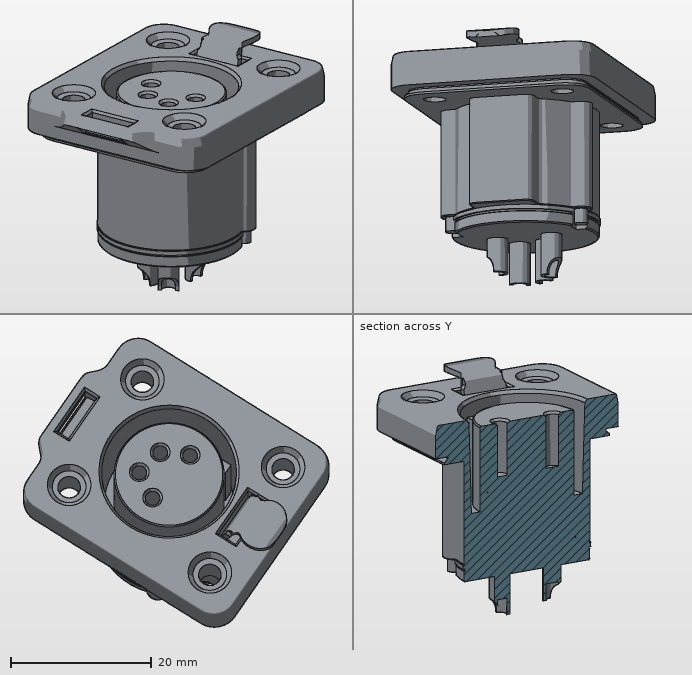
import cadquery as cq
import math


plate_width = 30.4
plate_back = 18.9
plate_front = -16.46
plate_height = 5.0
plate_corner = 3.5
draft_height = 1.45
draft_inset = 0.3
rim_fillet = 0.3

tongue_tip = -18.5
tongue_half_width = 5.1
bend_inner_radius = 2.26
bend_outer_radius = 2.0
tongue_root_depth = 3.1
notch_depth = 2.9

slot_width = 8.0
slot_front = -17.05
slot_back = -14.4
slot_bevel = 0.35
slot_back_depth = 2.0
slot_front_depth = 2.8

screw_pitch_x = 19.0
screw_pitch_y = 24.0
screw_centre_y = 1.2
screw_radius = 1.6
screw_seat_radius = 2.4
screw_mouth_radius = 3.1
screw_mouth_depth = 0.8
screw_seat_depth = 0.2

gasket_width = 27.5
gasket_length = 32.4
gasket_centre_y = 1.1
gasket_corner = 3.6
gasket_height = 1.1
gasket_neck_inset = 0.6
gasket_neck_height = 0.2
gasket_slope_height = 0.6

housing_radius = 10.55
housing_bottom = -16.55
housing_chamfer = 0.15
lug_blend = 0.6
latch_blend = 1.0
lug_x = 9.6
lug_y = 4.4
lug_radius = 1.65
latch_half_width = 4.8
latch_back = 12.8
latch_round = 1.3
nub_radius = 0.95
nub_bottom = -18.6

ring_radius = 10.65
ring_height = 0.6
groove_radius = 10.35
groove_height = 0.3
base_radius = 10.5
base_bottom = -19.1
base_chamfer = 0.2
base_slot_width = 2.65
base_slot_depth = 2.2
face_radius = 7.85
face_depth = 1.25
face_chamfer = 0.2
mouth_radius = 10.0
mouth_cone_depth = 0.5
cavity_radius = 9.6
cavity_floor_radius = 9.2
cavity_depth = 14.0
key_corner_x = -6.2
key_corner_y = 6.5
key_width = 1.5
key_drop = 0.6

contact_hole_radius = 1.05
contact_hole_depth = 8.0
contact_mouth_chamfer = 0.35
tail_radius = 1.5
tail_length = 6.0
short_tail_length = 4.94
cup_bore_radius = 1.0
cup_depth = 2.45
cup_opening = 1.35
cup_curve_x = 0.7
cup_curve_z = 0.35
contacts = [
    (4.2, -0.05, short_tail_length),
    (2.03, -3.74, tail_length),
    (-2.1, -2.9, tail_length),
    (-4.1, 0.9, tail_length),
]

clip_tip_top = 2.2
clip_peak_y = 16.2
clip_peak = 2.76
clip_thickness = 0.85
clip_stem_y = 11.85
clip_knee = 1.1
clip_lean = 0.2
clip_bend_y = 12.8
clip_bend_top = 1.85
clip_inner_bend = 1.2
clip_inner_bend_y = 13.6
clip_inner_bend_top = 1.45
clip_taper_start = 0.35
clip_taper_top = 0.9
clip_shoulder_half_width = 3.12
clip_head_half_width = 3.78
clip_head_y = 16.3
clip_tip_half_width = 2.2
clip_tip_y = 18.6
clip_shoulder_y = 14.2
clip_neck_half_width = 2.9
clip_neck_y = 13.7
clip_stem_half_width = 3.5

window_half_width = 4.18
window_front = 10.65
window_back = 14.2
window_bevel = 0.3
window_depth = 3.0

clip_root_y = window_front + window_bevel


def box(x0, x1, y0, y1, z0, z1):
    return cq.Workplane("XY").box(x1 - x0, y1 - y0, z1 - z0, centered=False).translate((x0, y0, z0))


def cylinder(radius, z0, z1, x=0.0, y=0.0):
    return cq.Workplane("XY", origin=(x, y, z0)).circle(radius).extrude(z1 - z0)


def cone(z0, radius0, z1, radius1, x=0.0, y=0.0):
    profile = [(0, z0), (radius0, z0), (radius1, z1), (0, z1)]
    return cq.Workplane("XZ").polyline(profile).close().revolve(360, (0, 0), (0, 1)).translate((x, y, 0))


def yz_prism(points, half_width):
    return cq.Workplane("YZ").polyline(points).close().extrude(half_width, both=True)


def bevelled_mouth(width, length, bevel, x, y):
    """Rectangular frustum that opens out to full size at the plate's top face."""
    return (
        cq.Workplane("XY", origin=(x, y, plate_height))
        .rect(width, length)
        .workplane(offset=-bevel)
        .rect(width - 2 * bevel, length - 2 * bevel)
        .loft(ruled=True)
    )


def make_plate():
    half = plate_width / 2
    diagonal = math.sqrt(0.5)
    outer_x = tongue_half_width + bend_outer_radius * diagonal
    outer_y = tongue_tip + bend_outer_radius * (1 - diagonal)
    inner_y = plate_front - bend_inner_radius * (1 - diagonal)
    inner_x = outer_x + inner_y - outer_y
    root_x = inner_x + bend_inner_radius * diagonal
    step = plate_corner * (1 - diagonal)
    outline = (
        cq.Workplane("XY")
        .moveTo(0, plate_back)
        .lineTo(half - plate_corner, plate_back)
        .threePointArc((half - step, plate_back - step), (half, plate_back - plate_corner))
        .lineTo(half, plate_front + plate_corner)
        .threePointArc((half - step, plate_front + step), (half - plate_corner, plate_front))
        .lineTo(root_x, plate_front)
        .tangentArcPoint((inner_x, inner_y), relative=False)
        .lineTo(outer_x, outer_y)
        .tangentArcPoint((tongue_half_width, tongue_tip), relative=False)
        .lineTo(0, tongue_tip)
        .mirrorY()
    )
    plate = outline.extrude(plate_height)
    plate = plate.faces(">Z").chamfer(draft_height, draft_inset)
    plate = plate.faces(">Z").edges().fillet(rim_fillet)

    tip_z = plate_height - draft_height
    root_z = plate_height - tongue_root_depth
    under_tongue = yz_prism(
        [(tongue_tip, tip_z), (plate_front, root_z), (plate_front, 0), (tongue_tip, 0)], half - plate_corner
    )
    notch_half = slot_width / 2 - slot_bevel
    notch = box(-notch_half, notch_half, tongue_tip, plate_front, plate_height - notch_depth, tip_z)
    return plate.cut(under_tongue).cut(notch)


def cut_label_slot(body):
    centre_y = (slot_front + slot_back) / 2
    mouth = bevelled_mouth(slot_width, slot_back - slot_front, slot_bevel, 0, centre_y)
    front = slot_front + slot_bevel
    back = slot_back - slot_bevel
    well = yz_prism(
        [
            (front, plate_height),
            (back, plate_height),
            (back, plate_height - slot_back_depth),
            (front, plate_height - slot_front_depth),
        ],
        slot_width / 2 - slot_bevel,
    )
    return body.cut(mouth).cut(well)


def cut_screw_holes(body):
    seat_z = plate_height - screw_mouth_depth
    for side in (-1, 1):
        for end in (-1, 1):
            x = side * screw_pitch_x / 2
            y = screw_centre_y + end * screw_pitch_y / 2
            body = body.cut(cone(plate_height, screw_mouth_radius, seat_z, screw_seat_radius, x, y))
            body = body.cut(cone(seat_z, screw_seat_radius, seat_z - screw_seat_depth, screw_radius, x, y))
            body = body.cut(cylinder(screw_radius, -gasket_height, plate_height, x, y))
    return body


def gasket_layer(z0, z1, inset):
    return (
        cq.Workplane("XY", origin=(0, gasket_centre_y, z0))
        .rect(gasket_width - 2 * inset, gasket_length - 2 * inset)
        .extrude(z1 - z0)
        .edges("|Z")
        .fillet(gasket_corner - inset)
    )


def make_gasket():
    lip = gasket_layer(-gasket_height, -gasket_neck_height, 0)
    lip = lip.faces(">Z").chamfer(gasket_slope_height, gasket_neck_inset)
    return lip.union(gasket_layer(-gasket_neck_height, 0, gasket_neck_inset))


def make_housing():
    housing = cylinder(housing_radius, housing_bottom, 0)
    latch = box(-latch_half_width, latch_half_width, 0, latch_back, housing_bottom, 0)
    housing = housing.union(latch.edges("|Z and >Y").fillet(latch_round))
    for side in (-1, 1):
        housing = housing.union(cylinder(lug_radius, housing_bottom, 0, side * lug_x, lug_y))
    for side in (-1, 1):
        latch_root_y = math.sqrt(housing_radius**2 - latch_half_width**2)
        housing = blend_corner(housing, side * latch_half_width, latch_root_y, latch_blend)
        for angle in lug_root_angles():
            root_x = side * housing_radius * math.cos(angle)
            housing = blend_corner(housing, root_x, housing_radius * math.sin(angle), lug_blend)
    return housing.faces("<Z").chamfer(housing_chamfer)


def lug_root_angles():
    """Polar angles at which the lug circle crosses the housing circle."""
    distance = math.hypot(lug_x, lug_y)
    cosine = (housing_radius**2 + distance**2 - lug_radius**2) / (2 * housing_radius * distance)
    middle = math.atan2(lug_y, lug_x)
    return (middle - math.acos(cosine), middle + math.acos(cosine))


def blend_corner(housing, x, y, radius):
    """Fillet the upright edge that stands at (x, y)."""
    reach = 0.05
    around = cq.selectors.BoxSelector((x - reach, y - reach, housing_bottom), (x + reach, y + reach, 0))
    return housing.edges("|Z").edges(around).fillet(radius)


def make_insert_base():
    ring_bottom = housing_bottom - ring_height
    groove_bottom = ring_bottom - groove_height
    base = cylinder(base_radius, base_bottom, groove_bottom).faces("<Z").chamfer(base_chamfer)
    base = base.union(cylinder(groove_radius, groove_bottom, ring_bottom))
    base = base.union(cylinder(ring_radius, ring_bottom, housing_bottom))
    for side in (-1, 1):
        centre_x = side * (ring_radius - base_slot_depth / 2)
        slot = cq.Workplane("XY", origin=(centre_x, lug_y, base_bottom))
        slot = slot.rect(base_slot_depth, base_slot_width).extrude(housing_bottom - base_bottom)
        nub = cylinder(nub_radius, nub_bottom, housing_bottom, side * lug_x, lug_y)
        base = base.cut(slot).union(nub)
    return base


def cut_socket(body):
    """Ring-shaped cavity around the contact carrier, with a coding key in it."""
    floor = plate_height - cavity_depth
    face = plate_height - face_depth
    wall_top = plate_height - mouth_cone_depth
    body = body.cut(cone(plate_height, mouth_radius, wall_top, cavity_radius))
    body = body.cut(cone(wall_top, cavity_radius, floor, cavity_floor_radius))
    carrier = cylinder(face_radius, floor, face).faces(">Z").chamfer(face_chamfer)
    key = box(
        key_corner_x, key_corner_x + key_width, key_corner_y - key_width, key_corner_y, floor, face - key_drop
    )
    return body.union(carrier).union(key)


def cut_contact_holes(body):
    face = plate_height - face_depth
    mouth_radius_at_face = contact_hole_radius + contact_mouth_chamfer
    for x, y, _ in contacts:
        mouth = cone(face, mouth_radius_at_face, face - contact_mouth_chamfer, contact_hole_radius, x, y)
        body = body.cut(mouth).cut(cylinder(contact_hole_radius, face - contact_hole_depth, face, x, y))
    return body


def make_tail(x, y, length):
    """Solder tail whose cup is opened on the side facing away from the socket axis."""
    cup_top = cup_depth - length
    tail = cylinder(tail_radius, -length, 0).cut(cylinder(cup_bore_radius, -length, cup_top))
    inner = tail_radius - cup_opening
    cup_curve_middle = (tail_radius - cup_curve_x * cup_opening, cup_top - cup_curve_z * cup_depth)
    opening = (
        cq.Workplane("XZ")
        .moveTo(tail_radius, cup_top)
        .threePointArc(cup_curve_middle, (inner, -length))
        .lineTo(tail_radius, -length)
        .close()
        .extrude(tail_radius, both=True)
    )
    direction = math.degrees(math.atan2(y, x))
    tail = tail.cut(opening).rotate((0, 0, 0), (0, 0, 1), direction)
    return tail.translate((x, y, base_bottom))


def cut_clip_window(body):
    width = 2 * window_half_width
    length = window_back - window_front
    centre_y = (window_front + window_back) / 2
    well = box(
        window_bevel - window_half_width,
        window_half_width - window_bevel,
        window_front + window_bevel,
        window_back - window_bevel,
        plate_height - window_depth,
        plate_height,
    )
    return body.cut(bevelled_mouth(width, length, window_bevel, 0, centre_y)).cut(well)


def make_clip():
    """Bent strip: a side profile trimmed to the plan shape of the pad and the taper of the stem."""
    root = plate_height - window_depth
    knee_z = plate_height + clip_knee
    peak_z = plate_height + clip_peak
    tip_z = plate_height + clip_tip_top
    back_y = clip_stem_y + clip_thickness
    strip = (
        cq.Workplane("YZ")
        .moveTo(clip_root_y, root)
        .lineTo(clip_stem_y + clip_lean, knee_z)
        .tangentArcPoint((clip_bend_y, plate_height + clip_bend_top), relative=False)
        .threePointArc((clip_peak_y, peak_z), (plate_back, tip_z))
        .lineTo(plate_back - clip_lean, tip_z - clip_thickness)
        .threePointArc(
            (clip_peak_y, peak_z - clip_thickness),
            (clip_inner_bend_y, plate_height + clip_inner_bend_top),
        )
        .threePointArc(
            (back_y + 2 * clip_lean, plate_height + clip_inner_bend),
            (back_y + clip_lean, plate_height + clip_taper_top),
        )
        .lineTo(clip_root_y + clip_thickness, root)
        .close()
        .extrude(window_half_width, both=True)
    )
    clip = strip.intersect(clip_plan())
    for side in (-1, 1):
        taper = (
            cq.Workplane("XZ", origin=(0, clip_bend_y, plate_height))
            .moveTo(side * clip_stem_half_width, clip_taper_start)
            .lineTo(side * clip_shoulder_half_width, clip_taper_top)
            .lineTo(side * clip_shoulder_half_width, clip_peak)
            .lineTo(side * clip_head_half_width, clip_peak)
            .lineTo(side * clip_head_half_width, clip_taper_start)
            .close()
            .extrude(clip_bend_y - clip_stem_y)
        )
        clip = clip.cut(taper)
    return clip


def clip_plan():
    half = (
        cq.Workplane("XY")
        .moveTo(0, clip_root_y)
        .lineTo(clip_stem_half_width, clip_root_y)
        .lineTo(clip_stem_half_width, clip_stem_y + clip_thickness)
        .lineTo(clip_neck_half_width, clip_neck_y)
        .lineTo(clip_shoulder_half_width, clip_shoulder_y)
        .threePointArc((clip_head_half_width, clip_head_y), (clip_tip_half_width, clip_tip_y))
        .threePointArc((clip_tip_half_width / 2, (clip_tip_y + 3 * plate_back) / 4), (0, plate_back))
        .mirrorY()
    )
    return half.extrude(plate_height + clip_peak)


body = make_plate().union(make_gasket()).union(make_housing()).union(make_insert_base())
body = cut_label_slot(body)
body = cut_screw_holes(body)
body = cut_socket(body)
body = cut_contact_holes(body)
for contact_x, contact_y, contact_length in contacts:
    body = body.union(make_tail(contact_x, contact_y, contact_length))
body = cut_clip_window(body)
result = body.union(make_clip())